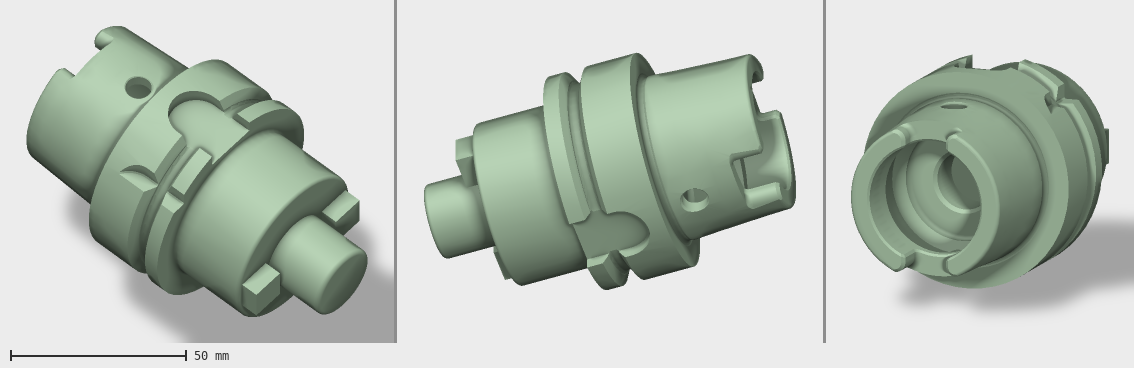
import cadquery as cq
import math


shank_length = 32.0
taper_slope = 0.05
gauge_radius = 24.005
gauge_x = -6.3
taper_end_x = -2.05
relief_start_x = -1.5
relief_radius = 23.95
nose_round = 1.0

recess_depth = 0.15
recess_round = 0.8
recess_radius = 25.1
recess_rim_radius = 25.5

flange_radius = 31.5
flange_width = 26.0
groove_x = 18.0
groove_half_mouth = 3.35
groove_half_floor = 1.7
groove_wall_angle = math.radians(30)
groove_floor_radius = 27.5
groove_round = 0.85

body_radius = 24.0
body_end_x = 50.0
body_root_round = 0.8
body_edge_round = 1.0
pilot_radius = 11.0
pilot_length = 19.0
pilot_edge_round = 1.3

bore_radius = 17.0
bore_mouth_chamfer = 0.6
lip_end_x = -19.0
lip_slope_length = 1.7
undercut_radius = 20.0
undercut_end_x = -6.15
bore_floor_x = -1.5
bore_floor_round = 1.3
coolant_radius = 8.4
coolant_chamfer = 1.0
coolant_depth = 12.0

end_slot_half_width = 6.2
end_slot_depths = {1: 6.0, -1: 10.0}
end_slot_flare_start = 17.8
end_slot_flare = 3.0
end_slot_round = 1.5
end_slot_front_chamfer = 0.95

access_hole_x = -9.0
access_hole_radius = 3.75
access_hole_chamfer = 0.55

cutter_radius = 8.0
drive_slot_end_x = 4.9
drive_slot_floor = 26.5
notch_offset = 19.95
notch_cutter_x = 12.1
notch_corner_chamfer = 0.4

key_width = 10.0
key_inner = 12.0
key_outer = 22.1
key_height = 5.4

clearance = 5.0
edge_margin = 0.1


def taper_radius(x):
    """Radius of the taper shank at a position along X."""
    return gauge_radius + taper_slope * (x - gauge_x)


def add_round(profile, centre_x, centre_r, radius, start_deg, end_deg):
    """Continue a profile with an arc that starts at its current point."""
    points = []
    for degrees in ((start_deg + end_deg) / 2, end_deg):
        angle = math.radians(degrees)
        points.append((centre_x + radius * math.cos(angle), centre_r + radius * math.sin(angle)))
    return profile.threePointArc(*points)


def revolve_about_x(profile):
    return profile.close().revolve(360, (0, 0, 0), (1, 0, 0))


def make_turned_body():
    wall_foot_radius = flange_radius - (groove_half_mouth - groove_half_floor) / math.tan(groove_wall_angle)
    groove_round_r = groove_floor_radius + groove_round
    groove_round_offset = groove_half_floor - groove_round
    pilot_end_x = body_end_x + pilot_length
    nose_radius = taper_radius(nose_round - shank_length)

    profile = (
        cq.Workplane("XY")
        .moveTo(-shank_length, 0)
        .lineTo(-shank_length, nose_radius - nose_round)
    )
    profile = add_round(profile, nose_round - shank_length, nose_radius - nose_round, nose_round, 180, 90)
    profile = (
        profile.lineTo(taper_end_x, taper_radius(taper_end_x))
        .lineTo(relief_start_x, relief_radius)
        .lineTo(recess_depth - recess_round, relief_radius)
    )
    profile = add_round(
        profile, recess_depth - recess_round, relief_radius + recess_round, recess_round, -90, 0
    )
    profile = (
        profile.lineTo(recess_depth, recess_radius)
        .lineTo(0, recess_rim_radius)
        .lineTo(0, flange_radius)
    )

    profile = (
        profile.lineTo(groove_x - groove_half_mouth, flange_radius)
        .lineTo(groove_x - groove_half_floor, wall_foot_radius)
        .lineTo(groove_x - groove_half_floor, groove_round_r)
    )
    profile = add_round(profile, groove_x - groove_round_offset, groove_round_r, groove_round, 180, 270)
    profile = profile.lineTo(groove_x + groove_round_offset, groove_floor_radius)
    profile = add_round(profile, groove_x + groove_round_offset, groove_round_r, groove_round, -90, 0)
    profile = (
        profile.lineTo(groove_x + groove_half_floor, wall_foot_radius)
        .lineTo(groove_x + groove_half_mouth, flange_radius)
        .lineTo(flange_width, flange_radius)
        .lineTo(flange_width, body_radius + body_root_round)
    )

    profile = add_round(
        profile, flange_width + body_root_round, body_radius + body_root_round, body_root_round, 180, 270
    )
    profile = profile.lineTo(body_end_x - body_edge_round, body_radius)
    profile = add_round(
        profile, body_end_x - body_edge_round, body_radius - body_edge_round, body_edge_round, 90, 0
    )
    profile = (
        profile.lineTo(body_end_x, pilot_radius)
        .lineTo(pilot_end_x - pilot_edge_round, pilot_radius)
    )
    profile = add_round(
        profile, pilot_end_x - pilot_edge_round, pilot_radius - pilot_edge_round, pilot_edge_round, 90, 0
    )
    return revolve_about_x(profile.lineTo(pilot_end_x, 0))


def make_end_slot(side):
    """Cutter for one shank slot, its walls flaring outwards over a round.

    The mouth plate lies in front of the shank; the chamfer between it and
    the slot cutter bevels the front edges of the slot walls.
    """
    flare_top = end_slot_flare_start + end_slot_flare
    outer_half_width = end_slot_half_width + end_slot_flare + clearance
    inner_z = bore_radius - clearance
    outer_z = taper_radius(0) + clearance
    bend = end_slot_flare * math.sqrt(0.5)
    bend_y = end_slot_half_width + end_slot_flare - bend
    bend_z = end_slot_flare_start + bend
    length = clearance + end_slot_depths[side]
    mouth_half_width = outer_half_width + clearance
    mouth_bottom = inner_z - clearance
    mouth_top = outer_z + clearance

    cutter = (
        cq.Workplane("YZ", origin=(-shank_length - clearance, 0, 0))
        .moveTo(-end_slot_half_width, inner_z)
        .lineTo(end_slot_half_width, inner_z)
        .lineTo(end_slot_half_width, end_slot_flare_start)
        .threePointArc((bend_y, bend_z), (end_slot_half_width + end_slot_flare, flare_top))
        .lineTo(outer_half_width, flare_top)
        .lineTo(outer_half_width, outer_z)
        .lineTo(-outer_half_width, outer_z)
        .lineTo(-outer_half_width, flare_top)
        .lineTo(-end_slot_half_width - end_slot_flare, flare_top)
        .threePointArc((-bend_y, bend_z), (-end_slot_half_width, end_slot_flare_start))
        .close()
        .extrude(length)
        .faces(">X")
        .edges()
        .fillet(end_slot_round)
    )
    mouth_plate = cq.Workplane("XY").box(
        clearance, 2 * mouth_half_width, mouth_top - mouth_bottom
    ).translate((-shank_length - clearance / 2, 0, (mouth_top + mouth_bottom) / 2))
    cutter = (
        cutter.union(mouth_plate)
        .edges(cq.selectors.BoxSelector(
            (-shank_length - edge_margin, -mouth_half_width + edge_margin, mouth_bottom + edge_margin),
            (-shank_length + edge_margin, mouth_half_width - edge_margin, mouth_top - edge_margin),
        ))
        .chamfer(end_slot_front_chamfer)
    )
    if side < 0:
        cutter = cutter.rotate((0, 0, 0), (1, 0, 0), 180)
    return cutter


def make_bore():
    """Clamping bore with a wider undercut behind its lip, and the blind coolant hole."""
    undercut_step = undercut_radius - bore_radius
    profile = (
        cq.Workplane("XY")
        .moveTo(-shank_length, 0)
        .lineTo(-shank_length, bore_radius)
        .lineTo(lip_end_x, bore_radius)
        .lineTo(lip_end_x + lip_slope_length, undercut_radius)
        .lineTo(undercut_end_x, undercut_radius)
        .lineTo(undercut_end_x + undercut_step, bore_radius)
        .lineTo(bore_floor_x - bore_floor_round, bore_radius)
    )
    profile = add_round(
        profile, bore_floor_x - bore_floor_round, bore_radius - bore_floor_round, bore_floor_round, 90, 0
    )
    profile = (
        profile.lineTo(bore_floor_x, coolant_radius + coolant_chamfer)
        .lineTo(bore_floor_x + coolant_chamfer, coolant_radius)
        .lineTo(bore_floor_x + coolant_depth, coolant_radius)
        .lineTo(bore_floor_x + coolant_depth, 0)
    )
    return revolve_about_x(profile)


def is_bore_mouth_edge(edge):
    """True for the edges where the bore meets the shank nose and its end slots."""
    middle = edge.positionAt(0.5)
    is_seam = edge.geomType() == "LINE" and abs(middle.y) > end_slot_half_width + end_slot_round
    on_bore = all(
        abs(math.hypot(point.y, point.z) - bore_radius) < edge_margin
        for point in (edge.startPoint(), middle, edge.endPoint())
    )
    return on_bore and middle.x < lip_end_x - edge_margin and not is_seam


def make_access_hole():
    """Hole right across the shank, countersunk at both ends."""
    surface_z = taper_radius(access_hole_x)
    outer_z = surface_z + clearance
    rim_radius = access_hole_radius + access_hole_chamfer
    half_profile = (
        cq.Workplane("XZ")
        .moveTo(0, 0)
        .lineTo(access_hole_radius, 0)
        .lineTo(access_hole_radius, surface_z - access_hole_chamfer)
        .lineTo(rim_radius, surface_z)
        .lineTo(rim_radius, outer_z)
        .lineTo(0, outer_z)
        .close()
    )
    half_hole = half_profile.revolve(360, (0, 0, 0), (0, 1, 0))
    hole = half_hole.union(half_hole.mirror("XY"))
    return hole.translate((access_hole_x, 0, 0))


def make_drive_slot(side):
    """Round-ended slot across the flange on the +Z or -Z side."""
    centre_x = drive_slot_end_x + cutter_radius
    depth = flange_radius + clearance - drive_slot_floor
    slot = (
        cq.Workplane("XY", origin=(0, 0, drive_slot_floor))
        .moveTo(flange_width, -cutter_radius)
        .lineTo(centre_x, -cutter_radius)
        .threePointArc((drive_slot_end_x, 0), (centre_x, cutter_radius))
        .lineTo(flange_width, cutter_radius)
        .close()
        .extrude(depth)
    )
    if side < 0:
        slot = slot.mirror("XY")
    return slot


def make_orientation_notch():
    """Corner notch on the -Y +Z side of the flange, ending in a quarter round."""
    outer = flange_radius + clearance
    arc_bend = cutter_radius * math.sqrt(0.5)
    centre_y = -notch_offset - cutter_radius
    return (
        cq.Workplane("XY", origin=(0, 0, notch_offset))
        .moveTo(flange_width, -notch_offset)
        .lineTo(notch_cutter_x, -notch_offset)
        .threePointArc(
            (notch_cutter_x - arc_bend, centre_y + arc_bend),
            (notch_cutter_x - cutter_radius, centre_y),
        )
        .lineTo(notch_cutter_x - cutter_radius, -outer)
        .lineTo(flange_width, -outer)
        .close()
        .extrude(outer - notch_offset)
        .faces("<Z")
        .edges(">Y or %CIRCLE")
        .chamfer(notch_corner_chamfer)
    )


def make_drive_key(side):
    """Rectangular key standing on the body end face on the +Y or -Y side."""
    return cq.Workplane("XY").box(key_height, key_outer - key_inner, key_width).translate(
        (body_end_x + key_height / 2, side * (key_inner + key_outer) / 2, 0)
    )


result = make_turned_body()

for side in (1, -1):
    result = result.cut(make_end_slot(side))

result = result.cut(make_bore())
result = result.edges().filter(is_bore_mouth_edge).chamfer(bore_mouth_chamfer)
result = result.cut(make_access_hole())
result = result.cut(make_orientation_notch())

for side in (1, -1):
    result = result.cut(make_drive_slot(side))
    result = result.union(make_drive_key(side))